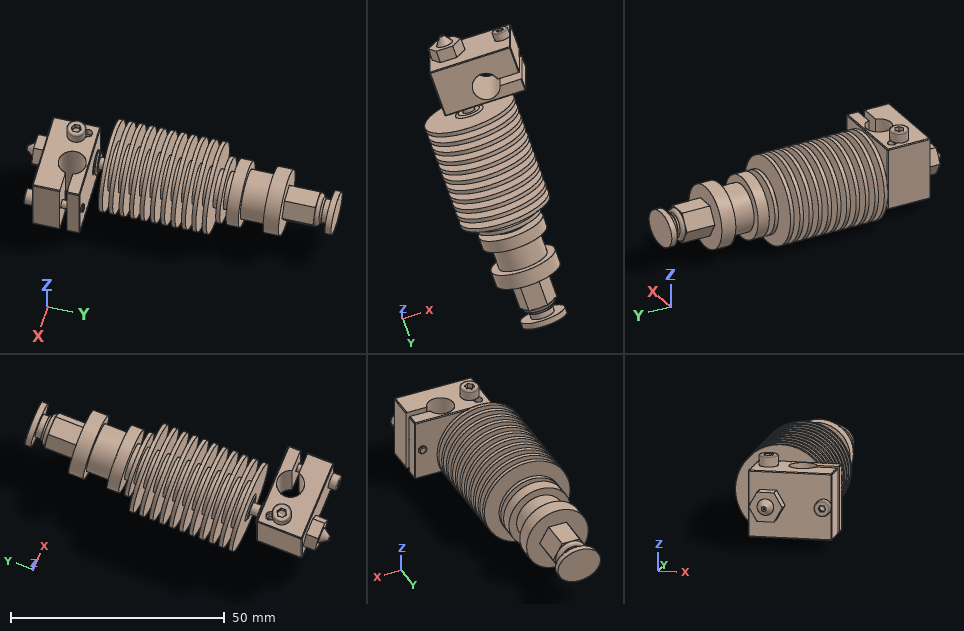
import cadquery as cq
import math


block_left = -4.8
block_length = 20.0
block_depth = 11.5
block_height = 16.0
block_edge_break = 0.2
bore_dia = 6.0
cartridge_dia = 6.5
cartridge_x = 6.7
cartridge_y = block_depth - 3.95
clamp_slot_width = 1.7

nozzle_hex_flats = 7.0
nozzle_hex_length = 3.0
nozzle_tip_length = 2.0
nozzle_cone_dia = 3.95
nozzle_tip_dia = 1.1
orifice_dia = 0.4
nozzle_shank_length = 7.5

neck_dia = 3.0
thread_pitch = 1.0
thread_root_dia = 4.8
thread_exposed = 1.0
thread_crest_rise = 0.6
ridge_turns = 3
ridge_half_base = 0.45 * thread_pitch
ridge_embed = 0.15
stud_dia = 6.9
stud_end_dia = 5.2
stud_end_length = 0.3
stud_depth = 10.0

sink_base_y = block_depth + 3.4
sink_length = 42.7
flange_dia = 16.0
top_flange_height = 3.7
groove_dia = 12.0
groove_height = 6.0
lower_flange_height = 3.0
fin_dia = 22.2
fin_thickness = 1.0
fin_gap = 1.5
fin_count = 11
core_top_dia = 9.0
core_base_dia = 12.0
sink_top_y = sink_base_y + sink_length

fitting_hex_flats = 8.0
fitting_hex_length = 7.5
shoulder_height = 1.05
lip_dia = 6.3
lip_height = 0.5
collet_neck_dia = 5.75
collet_exposed = 3.0
collet_flange_width = 11.05
collet_flange_height = 8.8
collet_flange_thickness = 1.5
fitting_top_y = sink_top_y + fitting_hex_length + shoulder_height + lip_height

clamp_x = 13.3
clamp_shank_dia = 2.0
clamp_tip_length = 0.5
clamp_tip_chamfer = 0.2
clamp_head_dia = 3.8
clamp_head_height = 2.0
clamp_socket_flats = 1.5
clamp_socket_depth = 1.0

sensor_screw_x = -1.3
sensor_screw_y = block_depth - 5.0
sensor_shank_dia = 2.5
sensor_shank_length = 4.5
sensor_head_dia = 4.5
sensor_head_height = 2.55
sensor_socket_flats = 2.0
sensor_socket_depth = 1.3
pocket_x = -2.3
pocket_y = block_depth - 2.5
pocket_width = 2.0
pocket_depth = 2.0
sensor_hole_dia = 1.1
sensor_hole_depth = 4.5

screw_rim_radius = 0.2
drill_point_angle = 120


def hex_circle(flats):
    """Corner-circle diameter of a hexagon given the distance across its flats."""
    return flats / math.cos(math.radians(30))


def cylinder_y(dia, y_start, y_end, x=0):
    """Cylinder parallel to Y between two Y positions."""
    plane = cq.Plane(origin=(x, y_start, 0), xDir=(1, 0, 0), normal=(0, 1, 0))
    return cq.Workplane(plane).circle(dia / 2).extrude(y_end - y_start)


def hexagon_y(flats, y_start, y_end):
    """Hexagonal prism on the Y axis with two corners pointing along X."""
    plane = cq.Plane(origin=(0, y_start, 0), xDir=(1, 0, 0), normal=(0, 1, 0))
    return cq.Workplane(plane).polygon(6, hex_circle(flats)).extrude(y_end - y_start)


def cone_y(start_dia, end_dia, y_start, y_end):
    """Truncated cone on the Y axis."""
    outline = [(0, y_start), (start_dia / 2, y_start), (end_dia / 2, y_end), (0, y_end)]
    return cq.Workplane("XY").polyline(outline).close().revolve(360, (0, 0), (0, 1))


def make_block():
    block = (
        cq.Workplane("XY")
        .box(block_length, block_depth, block_height, centered=(False, False, True))
        .translate((block_left, 0, 0))
        .edges()
        .chamfer(block_edge_break)
    )
    block = block.cut(cylinder_y(bore_dia, 0, block_depth))

    block = block.cut(
        cq.Workplane("XY").center(cartridge_x, cartridge_y).circle(cartridge_dia / 2)
        .extrude(block_height / 2, both=True)
    )
    slot_length = block_left + block_length - cartridge_x
    block = block.cut(
        cq.Workplane("XY").box(slot_length, clamp_slot_width, block_height, centered=(False, True, True))
        .translate((cartridge_x, cartridge_y, 0))
    )
    block = block.cut(cylinder_y(clamp_shank_dia, 0, block_depth, clamp_x))

    top = cq.Workplane("XY", origin=(0, 0, block_height / 2))
    run_x = sensor_screw_x - pocket_x
    run_y = sensor_screw_y - pocket_y
    pocket = (
        top.center((pocket_x + sensor_screw_x) / 2, (pocket_y + sensor_screw_y) / 2)
        .transformed(rotate=(0, 0, math.degrees(math.atan2(run_y, run_x))))
        .slot2D(math.hypot(run_x, run_y) + pocket_width, pocket_width)
        .extrude(-pocket_depth)
    )
    sensor_hole = top.center(pocket_x, pocket_y).circle(sensor_hole_dia / 2).extrude(-sensor_hole_depth)
    screw_hole = (
        top.center(sensor_screw_x, sensor_screw_y).circle(sensor_shank_dia / 2).extrude(-sensor_shank_length)
    )
    return block.cut(pocket).cut(sensor_hole).cut(screw_hole)


def make_nozzle():
    tip_y = -nozzle_hex_length - nozzle_tip_length
    nozzle = hexagon_y(nozzle_hex_flats, -nozzle_hex_length, 0)
    nozzle = nozzle.union(cylinder_y(bore_dia, 0, nozzle_shank_length))
    nozzle = nozzle.union(cone_y(nozzle_tip_dia, nozzle_cone_dia, tip_y, -nozzle_hex_length))
    return nozzle.cut(cylinder_y(orifice_dia, tip_y, nozzle_shank_length))


def make_exposed_thread():
    """The thread between the block and the neck: a root cylinder with a helical ridge, cut off square."""
    root_radius = thread_root_dia / 2
    ridge_length = ridge_turns * thread_pitch
    helix = cq.Wire.makeHelix(thread_pitch, ridge_length, root_radius)
    ridge = (
        cq.Workplane("XZ")
        .polyline([
            (root_radius - ridge_embed, -ridge_half_base),
            (bore_dia / 2, 0),
            (root_radius - ridge_embed, ridge_half_base),
        ])
        .close()
        .sweep(cq.Workplane(helix), isFrenet=True)
    )
    start_y = block_depth + thread_crest_rise - (ridge_turns - 1) * thread_pitch
    ridge = ridge.rotate((0, 0, 0), (1, 0, 0), -90).translate((0, start_y, 0))
    thread = cylinder_y(thread_root_dia, start_y, start_y + ridge_length).union(ridge)
    return thread.intersect(cylinder_y(2 * bore_dia, block_depth, block_depth + thread_exposed))


def make_heat_break():
    heat_break = cylinder_y(bore_dia, nozzle_shank_length, block_depth)
    heat_break = heat_break.union(make_exposed_thread())
    heat_break = heat_break.union(cylinder_y(neck_dia, block_depth, sink_base_y))

    bevel_y = sink_base_y - stud_end_length
    heat_break = heat_break.union(cone_y(stud_end_dia, stud_dia, bevel_y, sink_base_y))
    return heat_break.union(cylinder_y(stud_dia, sink_base_y, sink_base_y + stud_depth))


def make_heatsink():
    groove_y = sink_top_y - top_flange_height - groove_height
    lower_flange_y = groove_y - lower_flange_height
    sink = cylinder_y(flange_dia, sink_top_y - top_flange_height, sink_top_y)
    sink = sink.union(cylinder_y(groove_dia, groove_y, sink_top_y))
    sink = sink.union(cylinder_y(flange_dia, lower_flange_y, groove_y))

    sink = sink.union(cone_y(core_base_dia, core_top_dia, sink_base_y, lower_flange_y))
    small_fin_top = lower_flange_y - fin_gap
    sink = sink.union(cylinder_y(flange_dia, small_fin_top - fin_thickness, small_fin_top))
    stack_length = small_fin_top - fin_thickness - fin_gap - sink_base_y
    fin_pitch = (stack_length - fin_thickness) / (fin_count - 1)
    for i in range(fin_count):
        fin_y = sink_base_y + i * fin_pitch
        sink = sink.union(cylinder_y(fin_dia, fin_y, fin_y + fin_thickness))
    return sink.cut(cylinder_y(stud_dia, sink_base_y, sink_base_y + stud_depth))


def make_fitting():
    hex_top_y = sink_top_y + fitting_hex_length
    shoulder = cylinder_y(fitting_hex_flats, hex_top_y, hex_top_y + shoulder_height)
    shoulder = shoulder.faces(">Y").edges().fillet((fitting_hex_flats - lip_dia) / 2)
    fitting = hexagon_y(fitting_hex_flats, sink_top_y, hex_top_y)
    fitting = fitting.union(shoulder)
    fitting = fitting.union(cylinder_y(lip_dia, hex_top_y, fitting_top_y))
    return fitting.cut(cylinder_y(collet_neck_dia, hex_top_y, fitting_top_y))


def make_collet():
    flange_y = fitting_top_y + collet_exposed - collet_flange_thickness
    plane = cq.Plane(origin=(0, flange_y, 0), xDir=(1, 0, 0), normal=(0, 1, 0))
    flange = (
        cq.Workplane(plane).ellipse(collet_flange_width / 2, collet_flange_height / 2)
        .extrude(collet_flange_thickness)
    )
    return flange.union(cylinder_y(collet_neck_dia, sink_top_y + fitting_hex_length, flange_y))


def make_socket_screw(
    head_dia, head_height, shank_dia, shank_length, socket_flats, socket_depth, tip_chamfer=0
):
    """Cap screw along Z: the head stands on z = 0 and the shank points down."""
    head = cq.Workplane("XY").circle(head_dia / 2).extrude(head_height)
    head = head.faces(">Z").edges().fillet(screw_rim_radius)
    shank = cq.Workplane("XY").circle(shank_dia / 2).extrude(-shank_length)
    if tip_chamfer:
        shank = shank.faces("<Z").edges().chamfer(tip_chamfer)

    floor_z = head_height - socket_depth
    socket = (
        cq.Workplane("XY", origin=(0, 0, floor_z)).polygon(6, hex_circle(socket_flats)).extrude(socket_depth)
    )
    point_depth = socket_flats / 2 / math.tan(math.radians(drill_point_angle / 2))
    point = cq.Solid.makeCone(
        socket_flats / 2, 0, point_depth, cq.Vector(0, 0, floor_z), cq.Vector(0, 0, -1)
    )
    return head.union(shank).cut(socket).cut(cq.Workplane(point))


def make_clamp_screw():
    screw = make_socket_screw(
        clamp_head_dia, clamp_head_height, clamp_shank_dia, block_depth + clamp_tip_length,
        clamp_socket_flats, clamp_socket_depth, clamp_tip_chamfer,
    )
    return screw.rotate((0, 0, 0), (1, 0, 0), 90).translate((clamp_x, 0, 0))


def make_sensor_screw():
    screw = make_socket_screw(
        sensor_head_dia, sensor_head_height, sensor_shank_dia, sensor_shank_length,
        sensor_socket_flats, sensor_socket_depth,
    )
    screw = screw.rotate((0, 0, 0), (0, 0, 1), 90)
    return screw.translate((sensor_screw_x, sensor_screw_y, block_height / 2))


block = make_block()
nozzle = make_nozzle()
heat_break = make_heat_break()
heatsink = make_heatsink()
fitting = make_fitting()
collet = make_collet()
clamp_screw = make_clamp_screw()
sensor_screw = make_sensor_screw()

result = cq.Compound.makeCompound([
    block.val(), nozzle.val(), heat_break.val(), heatsink.val(),
    fitting.val(), collet.val(), clamp_screw.val(), sensor_screw.val(),
])